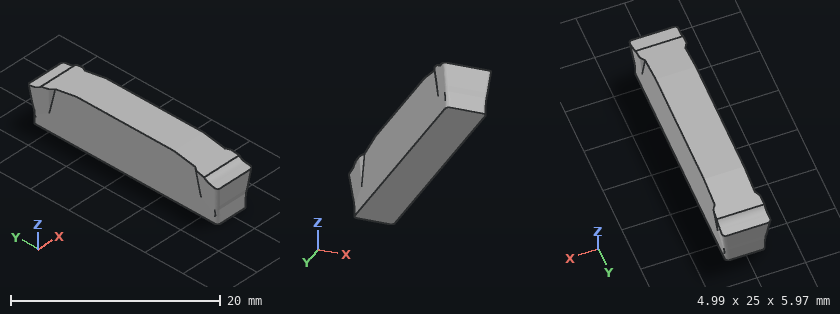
import cadquery as cq
import math

length = 24.97
height = 5.97
body_half_width = 2.07
half_length = length / 2

flat_half_length = 6.37
crest_start_y = 10.64
crest_start_z = 5.22
crest_end_y = 10.7
crest_end_z = 5.2
hollow_mid_y = 11.09
hollow_mid_z = 4.92
hollow_end_y = 11.7
hollow_end_z = 4.75
cutting_edge_z = 4.6
relief_end_y = 12.24
relief_end_z = 2.27
foot_y = 12.14
foot_z = 1.72

flare_low_y = 11.74
flare_low_z = 1.15
flare_back_y = 9.95
flare_back_z = 2.27
contour_slope = (flare_back_z - flare_low_z) / (flare_low_y - flare_back_y)
flare_slope = 0.113
shoulder_start_y = 9.16
shoulder_end_y = 9.71
shoulder_z = 5.5

shoulder_radius = 0.25
corner_radius = 0.4
arc_inset = 1 - math.sqrt(0.5)
block_size = 49.95


def half_space(first, second, third):
    """Large block on the side of a plane away from (second - first) x (third - first)."""
    origin = cq.Vector(*first)
    along = cq.Vector(*second) - origin
    normal = along.cross(cq.Vector(*third) - origin)
    plane = cq.Plane(origin=first, xDir=along, normal=normal)
    return cq.Workplane(plane).rect(block_size, block_size).extrude(-block_size)


def profile_quarter():
    """End profile, spanning one quarter of the part in plan."""
    return (
        cq.Workplane("YZ")
        .moveTo(0, 0)
        .lineTo(0, height)
        .lineTo(flat_half_length, height)
        .lineTo(crest_start_y, crest_start_z)
        .lineTo(crest_end_y, crest_end_z)
        .threePointArc((hollow_mid_y, hollow_mid_z), (hollow_end_y, hollow_end_z))
        .lineTo(half_length, cutting_edge_z)
        .lineTo(relief_end_y, relief_end_z)
        .lineTo(foot_y, foot_z)
        .lineTo(foot_y, 0)
        .close()
        .extrude(half_length)
    )


def flare_half_width(y, z):
    """Half width of the plane that carries the tapered side face."""
    contour_z = flare_low_z + contour_slope * (flare_low_y - y)
    return body_half_width + flare_slope * (z - contour_z)


def flare_quarter():
    """Wedge outside the body, bounded by the tapered side face and the rounded shoulder."""
    low = (body_half_width, flare_low_y, flare_low_z)
    back = (body_half_width, flare_back_y, flare_back_z)
    shoulder_start = (body_half_width, shoulder_start_y, shoulder_z)
    shoulder_end = (flare_half_width(shoulder_end_y, shoulder_z), shoulder_end_y, shoulder_z)
    side = half_space(back, low, shoulder_end)
    shoulder = half_space(back, shoulder_end, shoulder_start)
    wedge = side.intersect(shoulder)

    edge_direction = (cq.Vector(*shoulder_end) - cq.Vector(*back)).normalized()
    shoulder_edge = wedge.edges(cq.selectors.ParallelDirSelector(edge_direction))
    wedge = shoulder_edge.fillet(shoulder_radius)
    beyond_body = cq.Workplane("XY").box(half_length, half_length, height, centered=False)
    return wedge.intersect(beyond_body.translate((body_half_width, 0, 0)))


def corner_section(half_width, front_y, z):
    """Area outside the rounded front corner at one level."""
    arc_end_y = front_y - corner_radius
    arc_end_x = half_width
    if half_width > body_half_width:
        arc_end_x = flare_half_width(arc_end_y, z)
    return (
        cq.Workplane("XY", origin=(0, 0, z))
        .moveTo(half_width - corner_radius, front_y)
        .threePointArc(
            (half_width - corner_radius * arc_inset, front_y - corner_radius * arc_inset),
            (arc_end_x, arc_end_y),
        )
        .lineTo(half_width + corner_radius, front_y + corner_radius)
        .close()
        .wires()
        .val()
    )


def corner_cutters():
    """Removed corner stock, one ruled piece between each pair of front-face kinks."""
    relief_slope = (half_length - relief_end_y) / (cutting_edge_z - relief_end_z)
    flare_foot_z = flare_low_z - contour_slope * (foot_y - flare_low_y)
    fronts = [
        (foot_y, 0),
        (foot_y, flare_foot_z),
        (foot_y, foot_z),
        (relief_end_y, relief_end_z),
        (relief_end_y + relief_slope * (height - relief_end_z), height),
    ]
    sections = [
        corner_section(max(body_half_width, flare_half_width(y, z)), y, z) for y, z in fronts
    ]
    return [
        cq.Solid.makeLoft([lower, upper], True) for lower, upper in zip(sections, sections[1:])
    ]


body = cq.Workplane("XY").box(body_half_width, half_length, height, centered=False)
quarter = body.union(flare_quarter()).intersect(profile_quarter())
for cutter in corner_cutters():
    quarter = quarter.cut(cq.Workplane(cutter))

half = quarter.union(quarter.mirror("YZ"))
result = half.union(half.mirror("XZ")).clean()